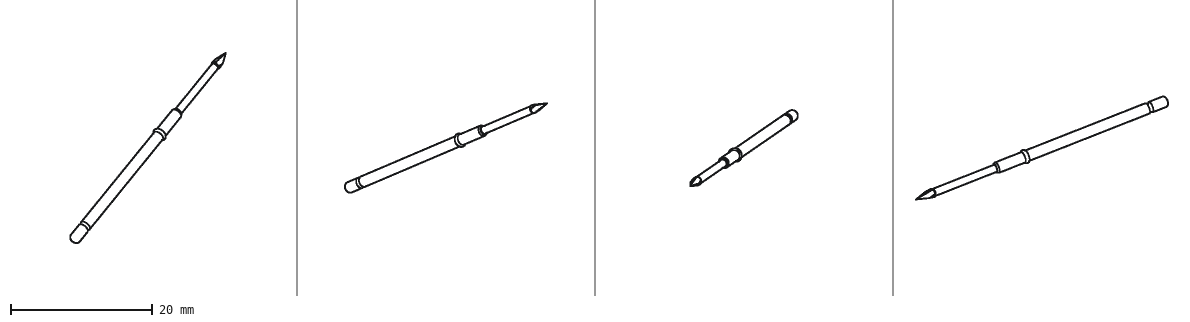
import cadquery as cq
import math

TOTAL_LENGTH = 40.2
TIP_Y = TOTAL_LENGTH / 2
TAIL_Y = -TOTAL_LENGTH / 2

HEAD_RADIUS = 0.65
HEAD_LENGTH = 2.7
HEAD_BACK_CONE = 0.25
SIDE_RIDGE_LENGTH = 1.78
TOP_RIDGE_LENGTH = 2.5

SHAFT_RADIUS = 0.55

BARREL_RADIUS = 0.8
BARREL_LENGTH = 27.45
MOUTH_CHAMFER_LENGTH = 0.3
MOUTH_CHAMFER_DEPTH = 0.12

RING_RADIUS = 1.0
RING_WIDTH = 0.6
RING_FROM_TIP = 17.52

GROOVE_DEPTH = 0.16
GROOVE_WIDTH = 0.55
GROOVE_FROM_TAIL = 2.8

TAIL_FILLET = 0.42

HEAD_CONE_Y = TIP_Y - HEAD_LENGTH
HEAD_BACK_Y = HEAD_CONE_Y - HEAD_BACK_CONE
BARREL_FRONT_Y = TAIL_Y + BARREL_LENGTH
RING_Y = TIP_Y - RING_FROM_TIP
GROOVE_Y = TAIL_Y + GROOVE_FROM_TAIL


def make_barrel():
    """Barrel with stop ring, groove, rounded tail and chamfered mouth, as one turned profile."""
    fillet_mid = TAIL_FILLET * (1 - math.cos(math.pi / 4))
    return (
        cq.Workplane("XY")
        .moveTo(0, TAIL_Y)
        .lineTo(BARREL_RADIUS - TAIL_FILLET, TAIL_Y)
        .threePointArc(
            (BARREL_RADIUS - fillet_mid, TAIL_Y + fillet_mid),
            (BARREL_RADIUS, TAIL_Y + TAIL_FILLET),
        )
        .lineTo(BARREL_RADIUS, GROOVE_Y - GROOVE_WIDTH / 2)
        .threePointArc(
            (BARREL_RADIUS - GROOVE_DEPTH, GROOVE_Y),
            (BARREL_RADIUS, GROOVE_Y + GROOVE_WIDTH / 2),
        )
        .lineTo(BARREL_RADIUS, RING_Y - RING_WIDTH / 2)
        .threePointArc(
            (RING_RADIUS, RING_Y),
            (BARREL_RADIUS, RING_Y + RING_WIDTH / 2),
        )
        .lineTo(BARREL_RADIUS, BARREL_FRONT_Y - MOUTH_CHAMFER_LENGTH)
        .lineTo(BARREL_RADIUS - MOUTH_CHAMFER_DEPTH, BARREL_FRONT_Y)
        .lineTo(0, BARREL_FRONT_Y)
        .close()
        .revolve(360, (0, 0, 0), (0, 1, 0))
    )


def make_pyramid(length):
    """Pyramid of rhombic section with its apex at the point of the pin."""
    half_width = HEAD_RADIUS * length / SIDE_RIDGE_LENGTH
    half_height = HEAD_RADIUS * length / TOP_RIDGE_LENGTH
    base = cq.Wire.makePolygon(
        [
            cq.Vector(half_width, TIP_Y - length, 0),
            cq.Vector(0, TIP_Y - length, half_height),
            cq.Vector(-half_width, TIP_Y - length, 0),
            cq.Vector(0, TIP_Y - length, -half_height),
        ],
        close=True,
    )
    corners = base.Vertices()
    apex = cq.Vector(0, TIP_Y, 0)
    sides = []
    for index, corner in enumerate(corners):
        following = corners[(index + 1) % len(corners)]
        outline = [corner.Center(), following.Center(), apex]
        sides.append(cq.Face.makeFromWires(cq.Wire.makePolygon(outline, close=True)))
    shell = cq.Shell.makeShell([cq.Face.makeFromWires(base)] + sides)
    return cq.Workplane(cq.Solid.makeSolid(shell))


def make_head():
    """Round blank with a back cone, trimmed to the pyramid."""
    blank = (
        cq.Workplane("XY")
        .moveTo(0, HEAD_BACK_Y)
        .lineTo(SHAFT_RADIUS, HEAD_BACK_Y)
        .lineTo(HEAD_RADIUS, HEAD_CONE_Y)
        .lineTo(HEAD_RADIUS, TIP_Y)
        .lineTo(0, TIP_Y)
        .close()
        .revolve(360, (0, 0, 0), (0, 1, 0))
    )
    return blank.intersect(make_pyramid(TIP_Y - HEAD_BACK_Y))


def make_shaft():
    """Plain round shaft between the barrel mouth and the back of the head."""
    return (
        cq.Workplane("XZ", origin=(0, HEAD_BACK_Y, 0))
        .circle(SHAFT_RADIUS)
        .extrude(HEAD_BACK_Y - BARREL_FRONT_Y)
    )


result = make_barrel().union(make_shaft()).union(make_head())